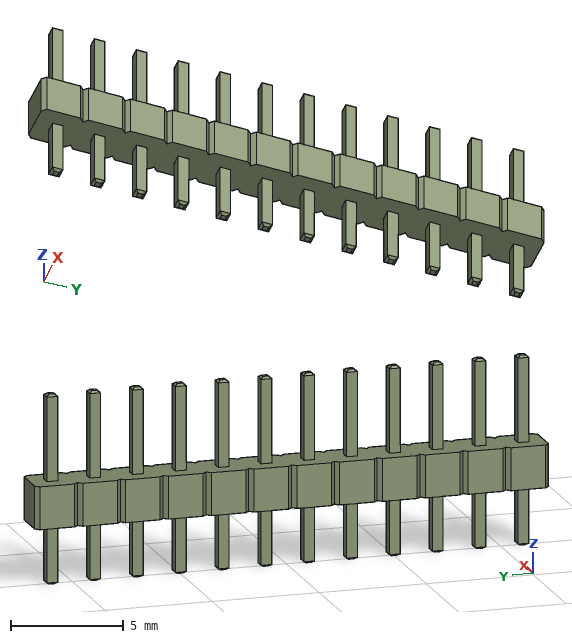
import cadquery as cq

pin_count = 12
row_length = 24.0
body_width = 2.0
body_height = 2.0
corner_chamfer = 0.2

pin_width = 0.5
pin_length_above = 4.0
pin_length_below = 2.8
tip_height = 0.1
tip_width = 0.25

pitch = row_length / pin_count
pin_bottom = -pin_length_below
pin_top = body_height + pin_length_above
pin_positions = [(i - (pin_count - 1) / 2) * pitch for i in range(pin_count)]


def body_cell(y):
    """One block of insulating body with chamfered vertical corners, resting on Z = 0."""
    return (
        cq.Workplane("XY")
        .center(0, y)
        .box(body_width, pitch, body_height, centered=(True, True, False))
        .edges("|Z")
        .chamfer(corner_chamfer)
    )


def pin_tip(y, base_z, direction):
    """Tapered pin end; direction is +1 when it points up and -1 when it points down."""
    return (
        cq.Workplane("XY", origin=(0, y, base_z))
        .rect(pin_width, pin_width)
        .workplane(offset=direction * tip_height)
        .rect(tip_width, tip_width)
        .loft(ruled=True)
    )


def pin(y):
    """Square pin running through the body, tapered at both ends."""
    shank_bottom = pin_bottom + tip_height
    shank_top = pin_top - tip_height
    shank = (
        cq.Workplane("XY", origin=(0, y, shank_bottom))
        .rect(pin_width, pin_width)
        .extrude(shank_top - shank_bottom)
    )
    return shank.union(pin_tip(y, shank_top, 1)).union(pin_tip(y, shank_bottom, -1))


result = cq.Workplane("XY")
for pin_y in pin_positions:
    result = result.union(body_cell(pin_y)).union(pin(pin_y))